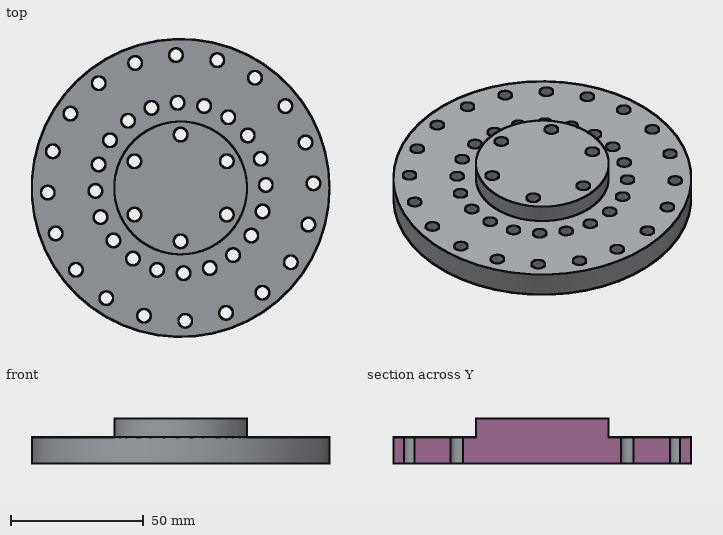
import cadquery as cq

disc_diameter = 112.0
disc_thickness = 10.0

boss_diameter = 50.0
total_height = 17.0
boss_height = total_height - disc_thickness

hole_diameter = 5.0
outer_circle_radius = 50.0
inner_circle_radius = 32.0
boss_circle_radius = 20.0
flange_hole_count = 20
boss_hole_count = 6
flange_start_angle = 2.0
boss_start_angle = 90.0


def hole_circle(radius, start_angle, count):
    """Cutters for a ring of evenly spaced holes through the full height."""
    return (
        cq.Workplane("XY")
        .polarArray(radius, start_angle, 360, count)
        .circle(hole_diameter / 2)
        .extrude(total_height)
    )


disc = cq.Workplane("XY").circle(disc_diameter / 2).extrude(disc_thickness)
body = disc.faces(">Z").workplane().circle(boss_diameter / 2).extrude(boss_height)

result = (
    body
    .cut(hole_circle(outer_circle_radius, flange_start_angle, flange_hole_count))
    .cut(hole_circle(inner_circle_radius, flange_start_angle, flange_hole_count))
    .cut(hole_circle(boss_circle_radius, boss_start_angle, boss_hole_count))
)